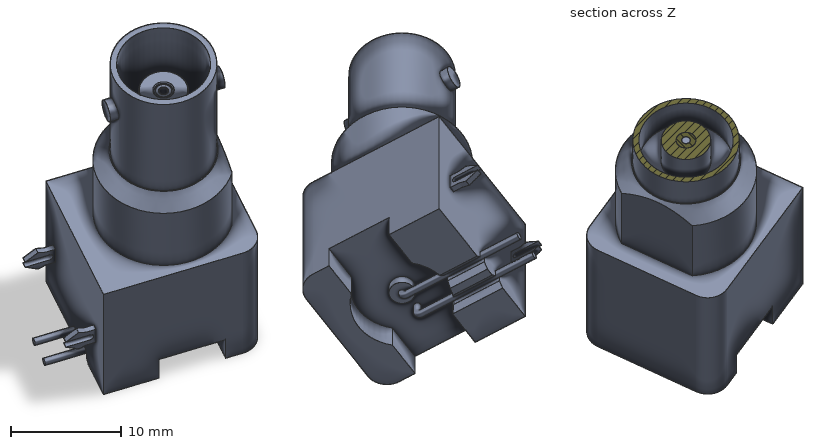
import cadquery as cq
import math


block_width = 14.4
block_height = 14.05
block_back = 7.0
block_front = 8.63
back_corner_radius = 2.05

notch_half_width = 3.25
notch_height = 2.6
pocket_radius = 4.7

total_height = 34.8
barrel_height = 12.08
barrel_radius = 4.85
bore_radius = 4.25
collar_radius = 6.4
collar_flat = 5.22
cone_height = 1.35
cone_top_radius = 4.95

lug_radius = 1.05
lug_reach = 5.57
lug_drop = 4.25

core_radius = 2.25
core_chamfer = 0.07
core_drop = 3.7
mouth_radius = 0.97
boss_radius = 1.2
boss_height = 0.9

socket_radius = 0.87
socket_chamfer = 0.15
socket_hole_radius = 0.4
socket_hole_chamfer = 0.07
socket_hole_depth = 5.22

pin_radius = 0.35
pin_axis_height = 1.15
pin_end = 12.6
pin_pitch = 2.55
ground_pin_depth = 1.75

slot_flare = 0.52

fork_offset = 5.08
fork_thickness = 0.55
fork_height = 6.23
fork_length = 2.95
fork_half_height = 0.9
fork_shoulder = 0.95
fork_peak = 1.7
fork_peak_half_height = 1.15
fork_gap_half_height = 0.35
fork_gap_start = 0.25

barrel_base = total_height - barrel_height
cone_base = barrel_base - cone_height
core_top = total_height - core_drop
mouth_depth = mouth_radius - socket_radius
socket_top = core_top - mouth_depth
socket_base = barrel_base
boss_base = notch_height - boss_height
bend_radius = boss_base - pin_axis_height


def cylinder(radius, bottom, top):
    """Solid cylinder on the barrel axis between two heights."""
    return cq.Workplane("XY").workplane(offset=bottom).circle(radius).extrude(top - bottom)


def make_block():
    """Base block with rounded back corners, hollowed from below."""
    depth = block_front + block_back
    middle = (block_back - block_front) / 2
    block = cq.Workplane("XY").center(0, middle).rect(block_width, depth).extrude(block_height)
    block = block.edges("|Z and >Y").fillet(back_corner_radius)
    notch = cq.Workplane("XY").rect(block_width, 2 * notch_half_width).extrude(notch_height)
    pocket = cylinder(pocket_radius, 0, notch_height)
    return block.cut(notch).cut(pocket)


def make_pin_slot(x):
    """Cutter for a round-topped slot that flares at the base and runs from the front face to the axis."""
    flare_half_width = pin_radius + slot_flare
    return (
        cq.Workplane("XZ", origin=(x, 0, 0))
        .moveTo(-flare_half_width, 0)
        .lineTo(-pin_radius, slot_flare)
        .lineTo(-pin_radius, pin_axis_height)
        .threePointArc((0, pin_axis_height + pin_radius), (pin_radius, pin_axis_height))
        .lineTo(pin_radius, slot_flare)
        .lineTo(flare_half_width, 0)
        .close()
        .extrude(block_front)
    )


def make_collar():
    """Stepped collar with a conical shoulder, cut flat on the +Y side."""
    collar = (
        cq.Workplane("XZ")
        .moveTo(0, block_height)
        .lineTo(collar_radius, block_height)
        .lineTo(collar_radius, cone_base)
        .lineTo(cone_top_radius, barrel_base)
        .lineTo(0, barrel_base)
        .close()
        .revolve(360, (0, 0, 0), (0, 1, 0))
    )
    removed = (
        cq.Workplane("XY")
        .box(2 * collar_radius, collar_radius, barrel_height, centered=(True, False, False))
        .translate((0, collar_flat, block_height))
    )
    return collar.cut(removed)


def make_barrel():
    """Open barrel with two opposite bayonet lugs and the insulator core inside."""
    lugs = (
        cq.Workplane("XZ", origin=(0, lug_reach, total_height - lug_drop))
        .circle(lug_radius)
        .extrude(2 * lug_reach)
    )
    barrel = cylinder(barrel_radius, barrel_base, total_height).union(lugs)
    barrel = barrel.cut(cylinder(bore_radius, barrel_base, total_height))
    core = cylinder(core_radius, barrel_base, core_top).faces(">Z").chamfer(core_chamfer)
    return barrel.union(core)


def make_fork(x):
    """Split snap-in fork that projects from the front face, outlined in the YZ plane."""
    gap_arc_start = fork_gap_start + fork_gap_half_height
    half_thickness = fork_thickness / 2
    return (
        cq.Workplane("YZ", origin=(x - half_thickness, -block_front, fork_height))
        .moveTo(0, -fork_half_height)
        .lineTo(-fork_shoulder, -fork_half_height)
        .lineTo(-fork_peak, -fork_peak_half_height)
        .lineTo(-fork_length, -fork_gap_half_height)
        .lineTo(-gap_arc_start, -fork_gap_half_height)
        .threePointArc((-fork_gap_start, 0), (-gap_arc_start, fork_gap_half_height))
        .lineTo(-fork_length, fork_gap_half_height)
        .lineTo(-fork_peak, fork_peak_half_height)
        .lineTo(-fork_shoulder, fork_half_height)
        .lineTo(0, fork_half_height)
        .close()
        .extrude(fork_thickness)
    )


def make_contact_bore():
    """Cutter for the stepped bore of the signal contact, with a conical mouth in the core."""
    return (
        cq.Workplane("XZ")
        .moveTo(0, boss_base)
        .lineTo(pin_radius, boss_base)
        .lineTo(pin_radius, socket_base)
        .lineTo(socket_radius, socket_base)
        .lineTo(socket_radius, socket_top)
        .lineTo(mouth_radius, core_top)
        .lineTo(0, core_top)
        .close()
        .revolve(360, (0, 0, 0), (0, 1, 0))
    )


def make_housing():
    """Block, collar, barrel, boss and forks as one body, with openings for both pins."""
    housing = make_block()
    for x in (0, pin_pitch):
        housing = housing.cut(make_pin_slot(x))
    housing = housing.union(make_collar()).union(make_barrel())
    housing = housing.union(cylinder(boss_radius, boss_base, notch_height))
    for x in (-fork_offset, fork_offset):
        housing = housing.union(make_fork(x))
    ground_hole = cylinder(pin_radius, notch_height, notch_height + ground_pin_depth)
    return housing.cut(make_contact_bore()).cut(ground_hole.translate((pin_pitch, 0, 0)))


def make_bent_pin(x, top):
    """Round pin that drops from the given height and bends forward through its slot."""
    bend_top = pin_axis_height + bend_radius
    bend_middle = bend_radius * (1 - math.sqrt(0.5))
    path = (
        cq.Workplane("YZ", origin=(x, 0, 0))
        .moveTo(0, top)
        .lineTo(0, bend_top)
        .threePointArc((-bend_middle, pin_axis_height + bend_middle), (-bend_radius, pin_axis_height))
        .lineTo(-pin_end, pin_axis_height)
    )
    return cq.Workplane("XY", origin=(x, 0, top)).circle(pin_radius).sweep(path)


def make_signal_contact():
    """Centre contact: a socket in the core that continues below as a bent pin."""
    socket = cylinder(socket_radius, socket_base, socket_top).faces(">Z").chamfer(socket_chamfer)
    hole = cylinder(socket_hole_radius, socket_top - socket_hole_depth, socket_top)
    hole_mouth = socket.cut(hole).faces(">Z").edges(cq.selectors.RadiusNthSelector(0))
    socket = hole_mouth.chamfer(socket_hole_chamfer)
    return socket.union(make_bent_pin(0, socket_base))


housing = make_housing()
signal_contact = make_signal_contact()
ground_pin = make_bent_pin(pin_pitch, notch_height + ground_pin_depth)

bodies = [housing, signal_contact, ground_pin]
result = cq.Compound.makeCompound([body.solids().val() for body in bodies])